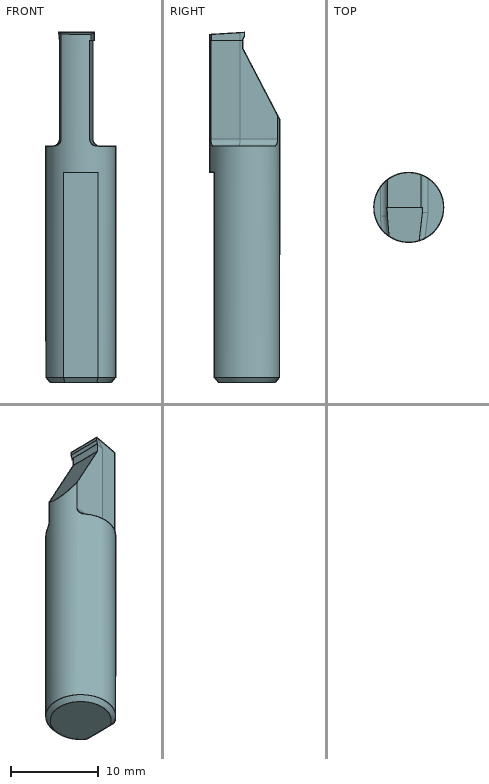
import cadquery as cq
import math

length = 40.0
radius = 4.0
base_chamfer_height = 0.6
base_chamfer_width = 0.5
flat_width = 3.9
flat_top = 24.0
flat_y = -math.sqrt(radius**2 - (flat_width / 2) ** 2)

shoulder_z = 27.0
root_radius = 0.8
left_x = -2.45
left_bend_y = -1.0
left_angle = 5.0
right_x = 1.4
right_bend_y = -0.55
right_angle = 6.5

tip_x = 1.55
tip_height = 0.95
top_angle = 3.5
land_height = 0.4
groove_y = -0.2
groove_top = 39.2
groove_bottom = 38.1
slope_end_z = 30.05

reach = 2 * radius


def extruded_yz(points, x_start, x_end):
    """Extrude a closed Y-Z outline between two X positions."""
    return cq.Workplane("YZ").workplane(offset=x_start).polyline(points).close().extrude(x_end - x_start)


def flat_cut():
    """Clamping flat on the -Y side, with its bottom edge bevelled like the round base."""
    outline = [
        (-reach, 0),
        (flat_y + base_chamfer_width, 0),
        (flat_y, base_chamfer_height),
        (flat_y, flat_top),
        (-reach, flat_top),
    ]
    return extruded_yz(outline, -flat_width, flat_width)


def side_cut(wall_x, bend_y, angle, side):
    """Material beside the neck, with a rounded root; side is -1 or +1 along X."""
    wall_end_x = wall_x - side * (reach + bend_y) * math.tan(math.radians(angle))
    outer_x = side * reach
    profile = [(wall_x, reach), (wall_x, bend_y), (wall_end_x, -reach), (outer_x, -reach), (outer_x, reach)]
    block = cq.Workplane("XY").workplane(offset=shoulder_z).polyline(profile).close().extrude(length)
    near_x = min(wall_x, wall_end_x) - 0.4
    far_x = max(wall_x, wall_end_x) + 0.4
    root_edges = cq.selectors.BoxSelector(
        (near_x, 0.4 - reach, shoulder_z - 0.4),
        (far_x, reach - 0.4, shoulder_z + 0.4),
    )
    return block.edges(root_edges).fillet(root_radius)


def rake_cut():
    """Remove the +Y half of the tip, the chip groove and the long sloping face."""
    slope = (radius - groove_y) / (groove_bottom - slope_end_z)
    slope_outer_z = groove_bottom - (reach - groove_y) / slope
    outline = [
        (0, length + 0.4),
        (0, length - land_height),
        (groove_y, groove_top),
        (groove_y, groove_bottom),
        (reach, slope_outer_z),
        (reach, length + 0.4),
    ]
    return extruded_yz(outline, -reach, reach)


def top_relief_cut():
    """Slope the end face down from the cutting edge toward -Y."""
    drop = reach * math.tan(math.radians(top_angle))
    outline = [(0, length), (-reach, length - drop), (-reach, length + 0.4), (0, length + 0.4)]
    return extruded_yz(outline, -reach, reach)


def cutting_tip():
    """Small tooth standing out from the right wall at the end of the neck."""
    end_x = tip_x - (reach + right_bend_y) * math.tan(math.radians(right_angle))
    outline = [(0, 0), (tip_x, 0), (tip_x, right_bend_y), (end_x, -reach), (0, -reach)]
    tooth_base = cq.Workplane("XY").workplane(offset=length - tip_height)
    return tooth_base.polyline(outline).close().extrude(tip_height)


def left_flare():
    """Thin wedge carrying the tapered left wall on to the cutting edge, fading out downward."""
    flare = -left_bend_y * math.tan(math.radians(left_angle))
    flare_x = left_x - flare
    wall_wedge = (
        cq.Workplane("XY")
        .workplane(offset=length - tip_height)
        .polyline([(0, 0), (flare_x, 0), (left_x, left_bend_y), (0, left_bend_y)])
        .close()
        .extrude(tip_height)
    )
    fade_wedge = (
        cq.Workplane("XZ")
        .polyline([(0, length - tip_height), (left_x, length - tip_height), (flare_x, length), (0, length)])
        .close()
        .extrude(-left_bend_y)
    )
    return wall_wedge.intersect(fade_wedge)


shank = cq.Workplane("XY").circle(radius).extrude(length)
body = shank.faces("<Z").chamfer(base_chamfer_height, base_chamfer_width)
body = body.cut(flat_cut())
body = body.cut(side_cut(left_x, left_bend_y, left_angle, -1))
body = body.cut(side_cut(right_x, right_bend_y, right_angle, 1))
body = body.union(left_flare())
body = body.union(cutting_tip().intersect(shank))
body = body.cut(rake_cut()).cut(top_relief_cut())
result = body